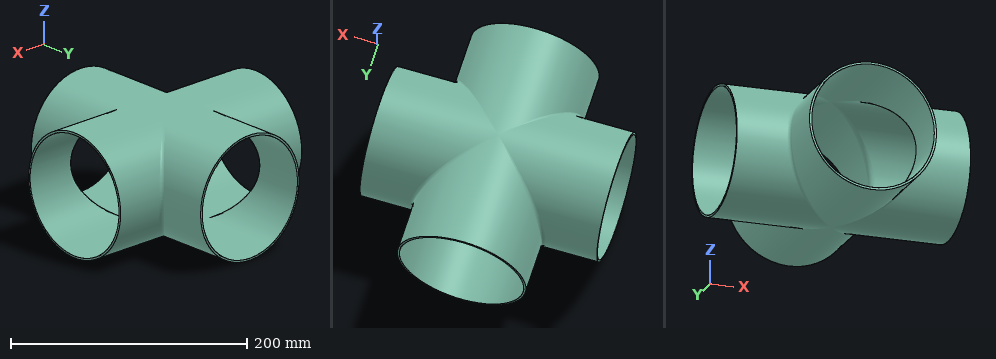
import cadquery as cq

LENGTH = 210.0
OUTER_DIAMETER = 114.2
BORE_DIAMETER = 110.2
OUTER_FILLET = 2.7

WALL = (OUTER_DIAMETER - BORE_DIAMETER) / 2
INNER_FILLET = OUTER_FILLET + WALL


def crossed_cylinders(diameter, seam_fillet):
    """Two equal cylinders along X and Y through the origin, with rounded seams."""
    along_x = cq.Workplane("YZ").circle(diameter / 2).extrude(LENGTH / 2, both=True)
    along_y = cq.Workplane("XZ").circle(diameter / 2).extrude(LENGTH / 2, both=True)
    return along_x.union(along_y).edges("%ELLIPSE").fillet(seam_fillet)


outside = crossed_cylinders(OUTER_DIAMETER, OUTER_FILLET)
bore = crossed_cylinders(BORE_DIAMETER, INNER_FILLET)
result = outside.cut(bore)